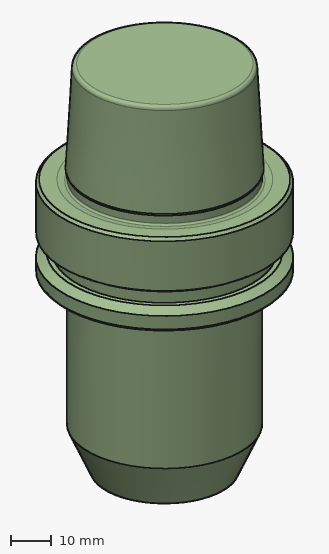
import cadquery as cq

total_length = 111.9
flange_radius = 31.5

body_radius = 24.0
nose_radius = 18.2
nose_height = 12.6
body_root_fillet = 1.7

flange_bottom = 54.2
flange_top = 80.0
flange_chamfer = 0.8
groove_radius = 27.5
groove_floor_bottom = 60.2
groove_floor_top = 64.0
groove_side_height = 1.6
groove_side_run = 2.6
groove_mouth_radius = flange_radius - groove_side_run

relief_radius = 26.4
relief_depth = 0.2

neck_radius = 24.0
neck_fillet = 0.6
taper_bottom = 83.0
taper_base_radius = 24.3
taper_top_radius = 22.7
taper_base_edge = 0.7
top_fillet = 1.1

relief_floor = flange_top - relief_depth

profile = (
    cq.Workplane("XZ")
    .moveTo(0, 0)
    .lineTo(nose_radius, 0)
    .lineTo(body_radius, nose_height)
    .lineTo(body_radius, flange_bottom - body_root_fillet)
    .tangentArcPoint((body_radius + body_root_fillet, flange_bottom), relative=False)
)

profile = (
    profile
    .lineTo(flange_radius - flange_chamfer, flange_bottom)
    .lineTo(flange_radius, flange_bottom + flange_chamfer)
    .lineTo(flange_radius, groove_floor_bottom - groove_side_height)
    .lineTo(groove_mouth_radius, groove_floor_bottom)
    .lineTo(groove_radius, groove_floor_bottom)
    .lineTo(groove_radius, groove_floor_top)
    .lineTo(groove_mouth_radius, groove_floor_top)
    .lineTo(flange_radius, groove_floor_top + groove_side_height)
    .lineTo(flange_radius, flange_top - flange_chamfer)
    .lineTo(flange_radius - flange_chamfer, flange_top)
)

profile = (
    profile
    .lineTo(relief_radius, flange_top)
    .lineTo(neck_radius + neck_fillet, relief_floor)
    .tangentArcPoint((neck_radius, relief_floor + neck_fillet), relative=False)
    .lineTo(neck_radius, taper_bottom - taper_base_edge)
    .lineTo(taper_base_radius, taper_bottom)
    .lineTo(taper_top_radius, total_length - top_fillet)
    .tangentArcPoint((taper_top_radius - top_fillet, total_length), relative=False)
    .lineTo(0, total_length)
    .close()
)

result = profile.revolve(360, (0, 0, 0), (0, 1, 0))